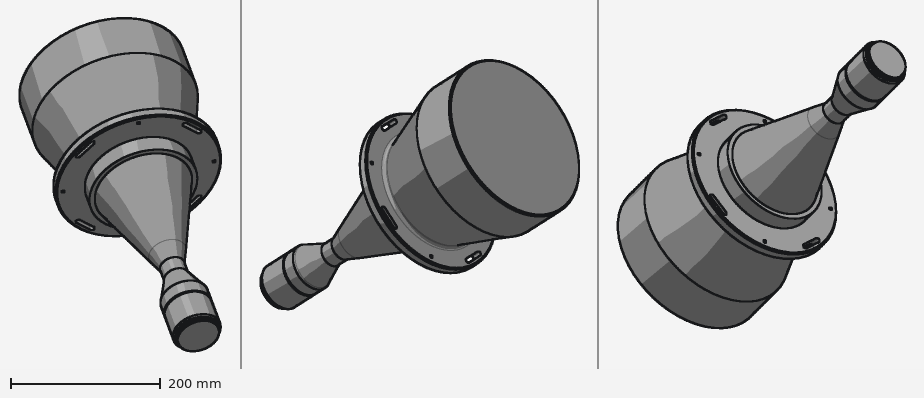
import cadquery as cq

total_length = 489.0
full_turn = 360

barrel_radius = 115.0
barrel_length = 68.0
barrel_chamfer = 2.0

neck_radius = 83.0
neck_start = 166.0
neck_fillet = 4.5

flange_radius = barrel_radius
flange_start = 171.5
flange_end = 187.0
flange_chamfer = 2.0

hub_radius = 75.0
hub_end = 211.0

cone_start_radius = 67.5
cone_break_radius = 26.0
cone_break = 332.0
waist_radius = 17.0
waist_start = 356.5
waist_end = 377.5

housing_radius = 33.3
flare_end_radius = 32.0
flare_end = 414.0
housing_start = 417.0
rear_boss_length = 6.0
housing_end = total_length - rear_boss_length
housing_chamfer = 2.5
joint_position = 436.0
joint_width = 1.5
joint_depth = 0.5

cap_radius = 29.0
cap_thickness = 3.5
cap_groove_depth = 0.5

holes_per_circle = 4
hole_circle_radius = 104.5
slot_length = 34.0
slot_width = 6.5
slot_tilt = 90
pin_hole_diameter = 4.0
slot_offset_angle = 45


def make_body():
    """Revolve the outer half profile about the X axis."""
    cap_start = total_length - cap_thickness
    cap_groove_radius = cap_radius - cap_groove_depth
    joint_end = joint_position + joint_width
    joint_radius = housing_radius - joint_depth
    profile = (
        cq.Workplane("XY")
        .lineTo(0, barrel_radius - barrel_chamfer)
        .lineTo(barrel_chamfer, barrel_radius)
        .lineTo(barrel_length, barrel_radius)
        .lineTo(neck_start, neck_radius)
        .lineTo(flange_start - neck_fillet, neck_radius)
        .radiusArc((flange_start, neck_radius + neck_fillet), -neck_fillet)
        .lineTo(flange_start, flange_radius - flange_chamfer)
        .lineTo(flange_start + flange_chamfer, flange_radius)
        .lineTo(flange_end - flange_chamfer, flange_radius)
        .lineTo(flange_end, flange_radius - flange_chamfer)
        .lineTo(flange_end, hub_radius)
        .lineTo(hub_end, hub_radius)
        .lineTo(hub_end, cone_start_radius)
        .lineTo(cone_break, cone_break_radius)
        .lineTo(waist_start, waist_radius)
        .lineTo(waist_end, waist_radius)
        .lineTo(flare_end, flare_end_radius)
        .lineTo(housing_start, housing_radius)
        .lineTo(joint_position, housing_radius)
        .lineTo(joint_position, joint_radius)
        .lineTo(joint_end, joint_radius)
        .lineTo(joint_end, housing_radius)
        .lineTo(housing_end - housing_chamfer, housing_radius)
        .lineTo(housing_end, housing_radius - housing_chamfer)
        .lineTo(housing_end, cap_groove_radius)
        .lineTo(cap_start, cap_groove_radius)
        .lineTo(cap_start, cap_radius)
        .lineTo(total_length, cap_radius)
        .lineTo(total_length, 0)
        .close()
    )
    return profile.revolve(full_turn, (0, 0, 0), (1, 0, 0))


def make_flange_holes():
    """Four tangential slots on the diagonals and four pin holes on the Y and Z axes."""
    flange_thickness = flange_end - flange_start
    flange_face = cq.Workplane("YZ", origin=(flange_start, 0, 0))
    slots = (
        flange_face
        .polarArray(hole_circle_radius, slot_offset_angle, full_turn, holes_per_circle)
        .slot2D(slot_length, slot_width, slot_tilt)
        .extrude(flange_thickness)
    )
    pin_holes = (
        flange_face
        .polarArray(hole_circle_radius, 0, full_turn, holes_per_circle)
        .circle(pin_hole_diameter / 2)
        .extrude(flange_thickness)
    )
    return slots.union(pin_holes)


result = make_body().cut(make_flange_holes())